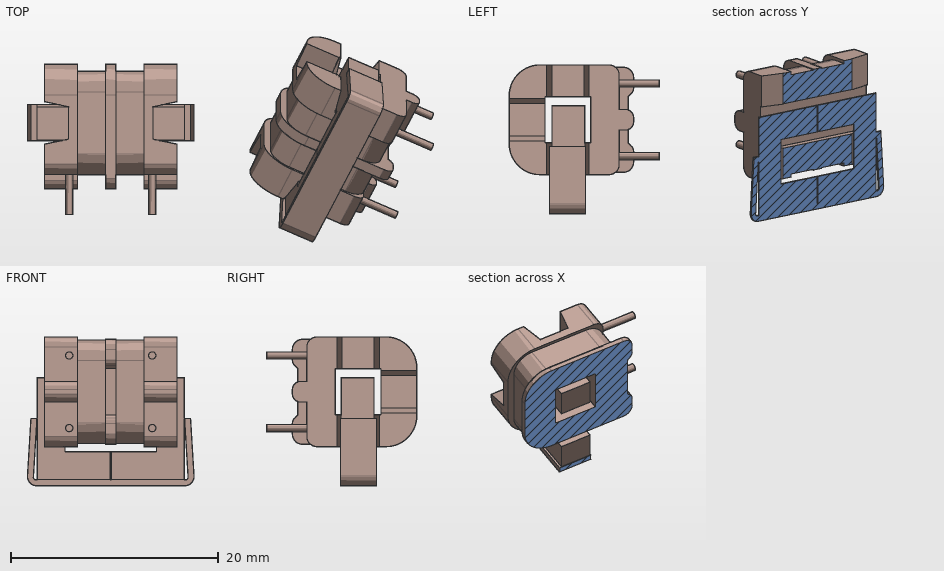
import math

import cadquery as cq


flange_outer_x = 6.4
flange_inner_x = 3.2
flange_half_height = 5.3
flange_back_y = 5.67
flange_front_y = -4.95
flange_back_radius = 3.0
flange_front_radius = 1.0
passage_size = 4.4

notch_floor_x = 4.05
notch_floor_width = 3.1
notch_mouth_width = 4.08

foot_front_y = -6.35
foot_height = 2.0
foot_radius = 0.8

winding_size = 10.0
winding_radius = 2.0

divider_thickness = 1.0
divider_half_height = 5.07
divider_front_radius = 1.0
divider_foot_flat = 1.0
divider_inner_radius = 0.75
divider_recess_depth = 0.53
divider_slope_angle = 45

pin_diameter = 0.7
pin_tip_y = -8.83
pin_x = 4.0
pin_z = 3.5

core_half_length = 7.1
core_width = 3.2
core_center_y = -0.05
core_top_z = 1.37
core_height = 9.83
core_leg = 2.7
core_gap = 0.05

clip_thickness = 0.6
clip_width = 3.5
clip_center_y = 0.03
clip_arm_top_z = -2.55
clip_arm_lean = 3.45
clip_outer_radius = 0.9
clip_inner_radius = 0.2

core_bottom_z = core_top_z - core_height
clip_bottom_z = core_bottom_z - clip_thickness


def box_between(x_range, y_range, z_range):
    """Box given by its lower and upper limit along each axis."""
    lows, highs = zip(x_range, y_range, z_range)
    sizes = [high - low for low, high in zip(lows, highs)]
    return cq.Workplane("XY").box(*sizes, centered=False).translate(lows)


def end_flange_blank():
    """End flange on the +X side, before the notches and passage are cut."""
    blank = box_between(
        (flange_inner_x, flange_outer_x),
        (flange_front_y, flange_back_y),
        (-flange_half_height, flange_half_height),
    )
    blank = blank.edges("|X and >Y").fillet(flange_back_radius)
    blank = blank.edges("|X and <Y").fillet(flange_front_radius)
    foot = box_between(
        (flange_inner_x, flange_outer_x),
        (foot_front_y, 0),
        (-foot_height / 2, foot_height / 2),
    )
    foot = foot.edges("|X and <Y").fillet(foot_radius)
    return blank.union(foot)


def notch_outline(plane):
    """Trapezoid that widens from the notch floor to the outer face of the +X flange."""
    return cq.Workplane(plane).polyline(
        [
            (notch_floor_x, -notch_floor_width / 2),
            (flange_outer_x, -notch_mouth_width / 2),
            (flange_outer_x, notch_mouth_width / 2),
            (notch_floor_x, notch_floor_width / 2),
        ]
    ).close()


def end_flange():
    """End flange on the +X side, with notches at the top, bottom and back."""
    vertical_notch = notch_outline("XY").extrude(flange_half_height, both=True)
    back_notch = notch_outline("XZ").extrude(-flange_back_y)
    return end_flange_blank().cut(vertical_notch).cut(back_notch)


def windings():
    """Rounded square block of wire between the end flanges."""
    block = cq.Workplane("XY").box(2 * flange_inner_x, winding_size, winding_size)
    return block.edges("|X").fillet(winding_radius)


def divider():
    """Middle flange with two front feet and a recess between them."""
    slope_angle = math.radians(divider_slope_angle)
    rounding_height = divider_inner_radius * math.sin(slope_angle)
    rounding_depth = divider_inner_radius * (1 - math.cos(slope_angle))
    slope_run = divider_recess_depth - rounding_depth
    flat_top_z = divider_half_height - divider_front_radius
    flat_bottom_z = flat_top_z - divider_foot_flat
    slope_z = flat_bottom_z - rounding_height
    recess_z = slope_z - slope_run
    recess_y = foot_front_y + divider_recess_depth
    slope_y = foot_front_y + rounding_depth
    arc_mid_angle = slope_angle / 2
    arc_mid_y = foot_front_y + divider_inner_radius * (1 - math.cos(arc_mid_angle))
    arc_mid_z = flat_bottom_z - divider_inner_radius * math.sin(arc_mid_angle)

    plate = box_between(
        (-divider_thickness / 2, divider_thickness / 2),
        (foot_front_y, flange_back_y),
        (-divider_half_height, divider_half_height),
    )
    plate = plate.edges("|X and >Y").fillet(flange_back_radius)
    plate = plate.edges("|X and <Y").fillet(divider_front_radius)
    recess = (
        cq.Workplane("YZ")
        .moveTo(foot_front_y, flat_bottom_z)
        .threePointArc((arc_mid_y, arc_mid_z), (slope_y, slope_z))
        .lineTo(recess_y, recess_z)
        .lineTo(recess_y, -recess_z)
        .lineTo(slope_y, -slope_z)
        .threePointArc((arc_mid_y, -arc_mid_z), (foot_front_y, -flat_bottom_z))
        .close()
        .extrude(divider_thickness, both=True)
    )
    return plate.cut(recess)


def pins():
    """Four round pins standing on the front of the end flanges."""
    places = [(x, z) for x in (-pin_x, pin_x) for z in (-pin_z, pin_z)]
    return (
        cq.Workplane("XZ", origin=(0, flange_front_y, 0))
        .pushPoints(places)
        .circle(pin_diameter / 2)
        .extrude(flange_front_y - pin_tip_y)
    )


def bobbin():
    """Coil former with windings and pins, and the core passage through it."""
    flange = end_flange()
    body = windings().union(divider()).union(flange).union(flange.mirror("YZ"))
    passage = cq.Workplane("XY").box(2 * flange_outer_x, passage_size, passage_size)
    return body.cut(passage).union(pins())


def cores():
    """Two U-cores facing each other across a narrow gap at X = 0."""
    core_y = (core_center_y - core_width / 2, core_center_y + core_width / 2)
    window_half_length = core_half_length - core_leg
    ring = box_between((-core_half_length, core_half_length), core_y, (core_bottom_z, core_top_z))
    window = box_between(
        (-window_half_length, window_half_length),
        core_y,
        (core_bottom_z + core_leg, core_top_z - core_leg),
    )
    gap = box_between((-core_gap / 2, core_gap / 2), core_y, (core_bottom_z, core_top_z))
    return ring.cut(window).cut(gap)


def clip_trapezoid(top_half_length, bottom_z, corner_radius):
    """Prism with leaning sides and rounded bottom corners, open side up."""
    spread = (clip_arm_top_z - bottom_z) * math.tan(math.radians(clip_arm_lean))
    bottom_half_length = top_half_length + spread
    prism = (
        cq.Workplane("XZ", origin=(0, clip_center_y, 0))
        .polyline(
            [
                (-top_half_length, clip_arm_top_z),
                (top_half_length, clip_arm_top_z),
                (bottom_half_length, bottom_z),
                (-bottom_half_length, bottom_z),
            ]
        )
        .close()
        .extrude(clip_width / 2, both=True)
    )
    return prism.edges("|Y and <Z").fillet(corner_radius)


def clip():
    """Spring strip under the cores, with arms that lean in and touch them at the tips."""
    outside = clip_trapezoid(core_half_length + clip_thickness, clip_bottom_z, clip_outer_radius)
    inside = clip_trapezoid(core_half_length, core_bottom_z, clip_inner_radius)
    return outside.cut(inside)


result = bobbin().union(cores()).union(clip())